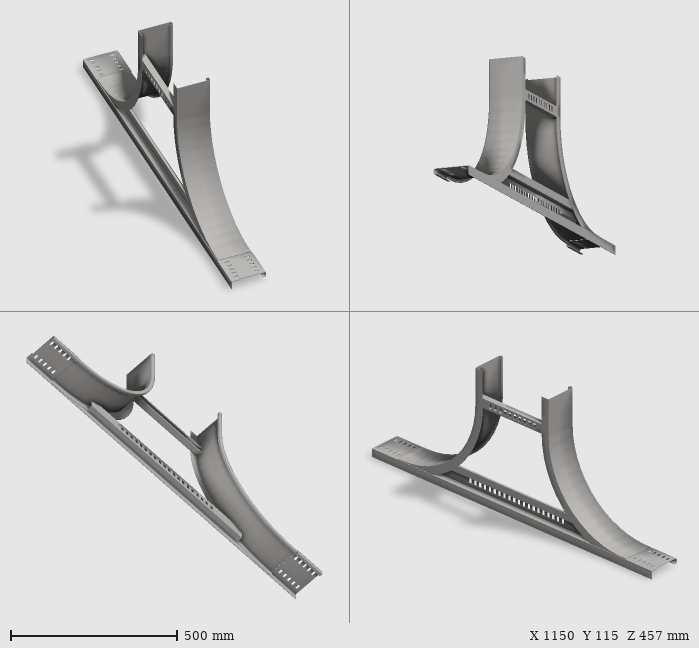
import cadquery as cq
import math

LENGTH = 1150.0
HEIGHT = 457.0
DEPTH = 115.0
SHEET = 1.7
FIT_GAP = 0.6
OVERHANG = 3.0
HALF_LENGTH = (LENGTH - OVERHANG) / 2

FLANGE = 29.0
FOOT_RADIUS = 3.0

PLATE_LENGTH = 105.0
PLATE_BEND = 7.0
PLATE_LIP = 18.0
PLATE_FOOT = 12.0
PLATE_HOLE_WIDTH = 7.0
PLATE_HOLE_HEIGHT = 14.0
PLATE_HOLE_PITCH = 18.0
PLATE_HOLE_COUNT = 5
PLATE_HOLE_ROWS = (24.0, 90.0)
PLATE_HOLE_CENTER = 522.0
PLATE_INNER_END = HALF_LENGTH - PLATE_LENGTH

RAIL_FRONT = SHEET + FIT_GAP
RAIL_BACK = 112.0
RAIL_WEB_TOP = 31.0
RAIL_LIP_BEND = 6.0
RAIL_LIP = 14.0
RAIL_FOOT = 9.0
RAIL_HALF_SPAN = 151.0
BEND = 299.0
ARC_X = RAIL_HALF_SPAN + BEND
ARC_Z = RAIL_WEB_TOP + BEND
FLANGE_RADIUS = BEND + FLANGE

FLOOR_FRONT = RAIL_FRONT + SHEET
FLOOR_BACK = 24.0
FLOOR_STEP = 70.0
FLOOR_TOP = 94.0
FLOOR_TOP_LIP = 7.0
FLOOR_END_GAP = 6.0
FLOOR_END_RADIUS = BEND + FLOOR_END_GAP
FLOOR_SLOT_COUNT = 20
SHELF_HALF_LENGTH = ARC_X - math.sqrt(FLANGE_RADIUS**2 - (ARC_Z - FLANGE) ** 2)

RUNG_BOTTOM = 329.0
RUNG_HEIGHT = 32.0
RUNG_BACK = 24.0
RUNG_LIP = 6.0
RUNG_SLOT_COUNT = 10
RUNG_HALF_LENGTH = RAIL_HALF_SPAN - SHEET

SLOT_WIDTH = 10.0
SLOT_HEIGHT = 17.0
FLOOR_SLOT_SPAN = 381.0
SLOT_PITCH = FLOOR_SLOT_SPAN / (FLOOR_SLOT_COUNT - 1)


def folded_section(x, front, back, top, bend, lip, foot):
    """Section in the YZ plane at x: front flange, level web, rear lip and the lip's foot."""
    bend_in = bend - SHEET
    foot_in = FOOT_RADIUS - SHEET
    bottom = top - lip
    diagonal = math.sqrt(0.5)
    bend_y, bend_z = back - bend, top - bend
    foot_y, foot_z = back - FOOT_RADIUS, bottom + FOOT_RADIUS
    return (
        cq.Workplane("YZ", origin=(x, 0, 0))
        .moveTo(front, top - FLANGE)
        .lineTo(front, top)
        .lineTo(bend_y, top)
        .threePointArc((bend_y + bend * diagonal, bend_z + bend * diagonal), (back, bend_z))
        .lineTo(back, foot_z)
        .threePointArc((foot_y + FOOT_RADIUS * diagonal, foot_z - FOOT_RADIUS * diagonal), (foot_y, bottom))
        .lineTo(back - foot, bottom)
        .lineTo(back - foot, bottom + SHEET)
        .lineTo(foot_y, bottom + SHEET)
        .threePointArc((foot_y + foot_in * diagonal, foot_z - foot_in * diagonal), (back - SHEET, foot_z))
        .lineTo(back - SHEET, bend_z)
        .threePointArc((bend_y + bend_in * diagonal, bend_z + bend_in * diagonal), (bend_y, top - SHEET))
        .lineTo(front + SHEET, top - SHEET)
        .lineTo(front + SHEET, top - FLANGE)
        .close()
    )


def slot_row(count, z):
    """Cutters for a row of slots through a wall that faces the front."""
    return (
        cq.Workplane("XZ", origin=(0, 0, z))
        .rarray(SLOT_PITCH, 12, count, 1)
        .rect(SLOT_WIDTH, SLOT_HEIGHT)
        .extrude(-DEPTH)
    )


def make_end_plate():
    """Perforated plate at the left end of the base."""
    section = folded_section(-HALF_LENGTH, 0, DEPTH, FLANGE, PLATE_BEND, PLATE_LIP, PLATE_FOOT)
    plate = section.extrude(PLATE_LENGTH)
    for row in PLATE_HOLE_ROWS:
        holes = (
            cq.Workplane("XY", origin=(-PLATE_HOLE_CENTER, row, FLANGE - SHEET))
            .rarray(PLATE_HOLE_PITCH, 12, PLATE_HOLE_COUNT, 1)
            .rect(PLATE_HOLE_WIDTH, PLATE_HOLE_HEIGHT)
            .extrude(SHEET)
        )
        plate = plate.cut(holes)
    return plate


def make_floor():
    """Stepped sheet between the rails: shelf, slotted wall, step, upper wall and top lip."""
    floor = (
        cq.Workplane("YZ", origin=(-SHELF_HALF_LENGTH, 0, 0))
        .moveTo(0, FLANGE)
        .lineTo(FLOOR_BACK - SHEET, FLANGE)
        .lineTo(FLOOR_BACK - SHEET, FLOOR_STEP)
        .lineTo(FLOOR_FRONT, FLOOR_STEP)
        .lineTo(FLOOR_FRONT, FLOOR_TOP)
        .lineTo(FLOOR_FRONT + FLOOR_TOP_LIP, FLOOR_TOP)
        .lineTo(FLOOR_FRONT + FLOOR_TOP_LIP, FLOOR_TOP - SHEET)
        .lineTo(FLOOR_FRONT + SHEET, FLOOR_TOP - SHEET)
        .lineTo(FLOOR_FRONT + SHEET, FLOOR_STEP + SHEET)
        .lineTo(FLOOR_BACK, FLOOR_STEP + SHEET)
        .lineTo(FLOOR_BACK, FLANGE - SHEET)
        .lineTo(0, FLANGE - SHEET)
        .close()
        .extrude(2 * SHELF_HALF_LENGTH)
    )
    floor = floor.cut(slot_row(FLOOR_SLOT_COUNT, (FLANGE + FLOOR_STEP) / 2))
    for side in (-1, 1):
        bend = cq.Workplane("XZ", origin=(side * ARC_X, 0, ARC_Z)).circle(FLOOR_END_RADIUS).extrude(-DEPTH)
        floor = floor.cut(bend)
    return floor


def make_base():
    """Full-length front flange with an end plate near each end and the floor in the middle."""
    corner = (False, False, False)
    flange = cq.Workplane("XY").box(LENGTH, SHEET, FLANGE, centered=corner).translate((-HALF_LENGTH, 0, 0))
    tab = (
        cq.Workplane("XY")
        .box(OVERHANG, FLOOR_BACK, SHEET, centered=corner)
        .translate((HALF_LENGTH, 0, FLANGE - SHEET))
    )
    left_plate = make_end_plate()
    right_plate = left_plate.mirror("YZ")
    return flange.union(left_plate).union(right_plate).union(tab).union(make_floor())


def make_left_rail():
    """Rail that runs level, bends upward and ends upright."""
    diagonal = BEND * math.sqrt(0.5)
    path = (
        cq.Workplane("XZ")
        .moveTo(-PLATE_INNER_END, RAIL_WEB_TOP)
        .lineTo(-ARC_X, RAIL_WEB_TOP)
        .threePointArc((-ARC_X + diagonal, ARC_Z - diagonal), (-RAIL_HALF_SPAN, ARC_Z))
        .lineTo(-RAIL_HALF_SPAN, HEIGHT)
    )
    section = folded_section(
        -PLATE_INNER_END, RAIL_FRONT, RAIL_BACK, RAIL_WEB_TOP, RAIL_LIP_BEND, RAIL_LIP, RAIL_FOOT
    )
    return section.sweep(path)


def make_rung():
    """Lipped channel between the upright rails, slotted and open to the rear."""
    front, back = FLOOR_FRONT, RUNG_BACK
    half = RUNG_HEIGHT / 2
    inner = half - SHEET
    lip_end = half - RUNG_LIP
    middle = RUNG_BOTTOM + half
    upper_half = [
        (front, half),
        (back, half),
        (back, lip_end),
        (back - SHEET, lip_end),
        (back - SHEET, inner),
        (front + SHEET, inner),
    ]
    lower_half = [(y, -z) for y, z in reversed(upper_half)]
    channel = (
        cq.Workplane("YZ", origin=(-RUNG_HALF_LENGTH, 0, middle))
        .polyline(upper_half + lower_half)
        .close()
        .extrude(2 * RUNG_HALF_LENGTH)
    )
    return channel.cut(slot_row(RUNG_SLOT_COUNT, middle))


base = make_base()
left_rail = make_left_rail()
right_rail = left_rail.mirror("YZ")
rung = make_rung()
result = cq.Compound.makeCompound([base.val(), left_rail.val(), right_rail.val(), rung.val()])